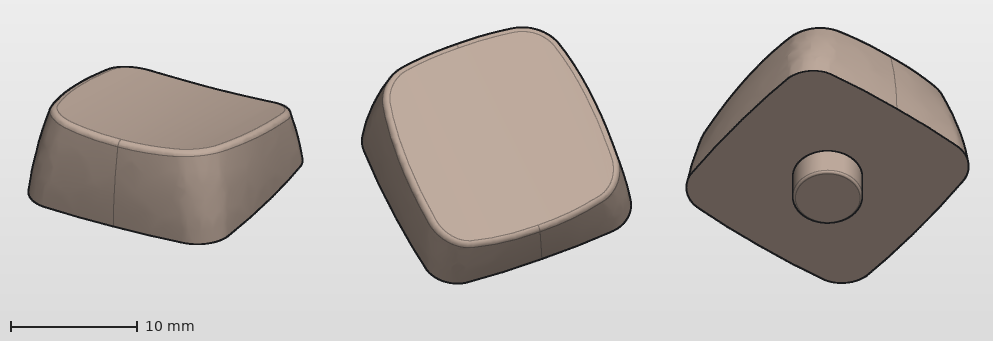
import cadquery as cq
import math

BASE_HALF = 9.0
MIDDLE_HEIGHT = 4.0
UPPER_HEIGHT = 2 * MIDDLE_HEIGHT

LEVELS = [
    (0.0, BASE_HALF, BASE_HALF, BASE_HALF, 80.0, 2.9),
    (MIDDLE_HEIGHT, 8.59, 8.72, 8.53, 42.0, 3.2),
    (UPPER_HEIGHT, 7.7, 7.94, 7.7, 24.0, 3.7),
]

DISH_RADIUS = 49.0
DISH_CENTRE_HEIGHT = 5.56
DISH_TILT = 12.4
DISH_LENGTH = 40.0
RIM_FILLET = 0.5

STEM_DIAMETER = 5.5
STEM_LENGTH = 2.5
STEM_FILLET = 0.2


def quarter_outline(half_width, half_depth, side_radius, corner_radius):
    """Points and tangents of a quarter outline in the +X +Y quadrant, centred on the origin.

    It runs from the middle of the +X side to the middle of the +Y side. Two bulging side arcs
    of equal radius meet a smaller corner arc tangentially.
    """
    x_side_centre = cq.Vector(half_width - side_radius, 0)
    y_side_centre = cq.Vector(0, half_depth - side_radius)
    between = y_side_centre - x_side_centre
    outward = cq.Vector(-between.y, between.x).normalized()
    reach = math.sqrt((side_radius - corner_radius) ** 2 - (between.Length / 2) ** 2)
    corner_centre = (x_side_centre + y_side_centre) * 0.5 + outward * reach

    from_x_side = (corner_centre - x_side_centre).normalized()
    from_y_side = (corner_centre - y_side_centre).normalized()
    diagonal = (from_x_side + from_y_side).normalized()
    normals = [cq.Vector(1, 0), from_x_side, diagonal, from_y_side, cq.Vector(0, 1)]
    points = [cq.Vector(half_width, 0)]
    points += [corner_centre + normal * corner_radius for normal in normals[1:-1]]
    points.append(cq.Vector(0, half_depth))
    tangents = [cq.Vector(-normal.y, normal.x) for normal in normals]
    return points, tangents


def half_edge(side, height, half_width, front_reach, back_reach, side_radius, corner_radius):
    """One smooth edge around the side of X given by `side`, from the front to the back midpoint."""
    half_depth = (back_reach + front_reach) / 2
    centre_y = (back_reach - front_reach) / 2
    quarter = quarter_outline(half_width, half_depth, side_radius, corner_radius)
    back = list(zip(*quarter))
    front = [
        (cq.Vector(point.x, -point.y), cq.Vector(-tangent.x, tangent.y))
        for point, tangent in back[:0:-1]
    ]
    points = [cq.Vector(side * point.x, point.y + centre_y, height) for point, _ in front + back]
    tangents = [cq.Vector(side * tangent.x, tangent.y) for _, tangent in front + back]
    return cq.Edge.makeSpline(points, tangents=tangents)


def make_body():
    """Loft smoothly through the level outlines, from the base up."""
    outlines = []
    for level in LEVELS:
        halves = [half_edge(side, *level) for side in (1, -1)]
        outlines.append(cq.Wire.assembleEdges(halves))
    return cq.Workplane(cq.Solid.makeLoft(outlines))


def cut_dish(body):
    """Cut with a cylinder along Y, tilted about X, whose lowest line forms the trough."""
    dish = (
        cq.Workplane("XZ")
        .center(0, DISH_RADIUS)
        .circle(DISH_RADIUS)
        .extrude(DISH_LENGTH / 2, both=True)
        .rotate((0, 0, 0), (1, 0, 0), -DISH_TILT)
        .translate((0, 0, DISH_CENTRE_HEIGHT))
    )
    return body.cut(dish)


def round_rim(body):
    """Round the edge around the trough, the highest face."""
    return body.faces(">Z").edges().fillet(RIM_FILLET)


def make_stem():
    return (
        cq.Workplane("XY")
        .circle(STEM_DIAMETER / 2)
        .extrude(-STEM_LENGTH)
        .faces("<Z")
        .edges()
        .fillet(STEM_FILLET)
    )


cap = round_rim(cut_dish(make_body()))
result = cap.union(make_stem())